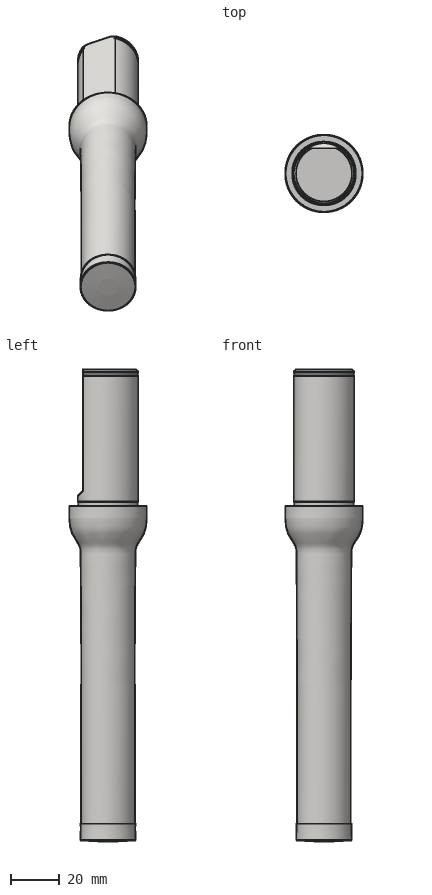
import cadquery as cq

shank_radius = 24.99 / 2
shank_length = 56.0
relief_radius = 24.5 / 2
relief_depth = shank_radius - relief_radius
top_chamfer = 1.0
top_band_height = 0.4
top_groove_width = 1.1
base_relief_height = 1.5
face_relief_depth = 0.3
face_relief_radius = 26.3 / 2

flat_offset = 10.3
flat_end_height = 4.0

collar_radius = 32.0 / 2
collar_rim_height = 5.0
collar_chamfer = 0.3
bowl_bottom = 19.3
bowl_rim_reach = 9.0
bowl_root_reach = 5.2
neck_radius = 22.64 / 2
neck_bottom = 24.0
taper_bottom = 73.5
stem_radius = 22.2 / 2

tool_reach = 138.0
head_length = 7.4
head_root_radius = 22.64 / 2
head_radius = 22.9 / 2
head_edge_chamfer = 0.3
tip_flat_radius = 4.0
point_height = 0.4

head_top = tool_reach - head_length


def revolve_about_z(profile):
    return profile.revolve(360, (0, 0, 0), (0, 1, 0))


def shank_flat():
    """Material removed for the clamping flat, ending in a 45 degree ramp."""
    margin = 1.0
    outer = shank_radius + margin
    ramp_top = flat_end_height + shank_radius - flat_offset
    top = shank_length + margin
    return (
        cq.Workplane("YZ")
        .moveTo(flat_offset, top)
        .lineTo(flat_offset, ramp_top)
        .lineTo(outer, flat_end_height - margin)
        .lineTo(outer, top)
        .close()
        .extrude(shank_radius, both=True)
    )


def make_holder():
    """Shank, collar and drill body turned about Z, with the flat cut into the shank."""
    bowl_curve = [
        (neck_radius, -bowl_bottom),
        (neck_radius, -bowl_bottom + bowl_root_reach),
        (collar_radius, -collar_rim_height - bowl_rim_reach),
        (collar_radius, -collar_rim_height),
    ]
    groove_top = shank_length - top_chamfer - top_band_height
    groove_bottom = groove_top - top_groove_width
    profile = (
        cq.Workplane("XZ")
        .moveTo(0, -head_top)
        .lineTo(stem_radius, -head_top)
        .lineTo(stem_radius, -taper_bottom)
        .lineTo(neck_radius, -neck_bottom)
        .lineTo(neck_radius, -bowl_bottom)
        .bezier(bowl_curve)
        .lineTo(collar_radius, -collar_chamfer)
        .lineTo(collar_radius - collar_chamfer, 0)
        .lineTo(face_relief_radius, 0)
        .lineTo(face_relief_radius, -face_relief_depth)
        .lineTo(relief_radius, -face_relief_depth)
        .lineTo(relief_radius, base_relief_height)
        .lineTo(shank_radius, base_relief_height + relief_depth)
        .lineTo(shank_radius, groove_bottom - relief_depth)
        .lineTo(relief_radius, groove_bottom)
        .lineTo(relief_radius, groove_top)
        .lineTo(shank_radius, groove_top)
        .lineTo(shank_radius, shank_length - top_chamfer)
        .lineTo(shank_radius - top_chamfer, shank_length)
        .lineTo(0, shank_length)
        .close()
    )
    return revolve_about_z(profile).cut(shank_flat())


def make_head():
    """Cutting head that widens slightly downwards and ends in a shallow point."""
    edge_bottom = -tool_reach + point_height
    profile = (
        cq.Workplane("XZ")
        .moveTo(0, -head_top)
        .lineTo(head_root_radius, -head_top)
        .lineTo(head_radius, edge_bottom + head_edge_chamfer)
        .lineTo(head_radius - head_edge_chamfer, edge_bottom)
        .lineTo(tip_flat_radius, -tool_reach)
        .lineTo(0, -tool_reach)
        .close()
    )
    return revolve_about_z(profile)


holder = make_holder()
head = make_head()
result = cq.Compound.makeCompound([holder.val(), head.val()])